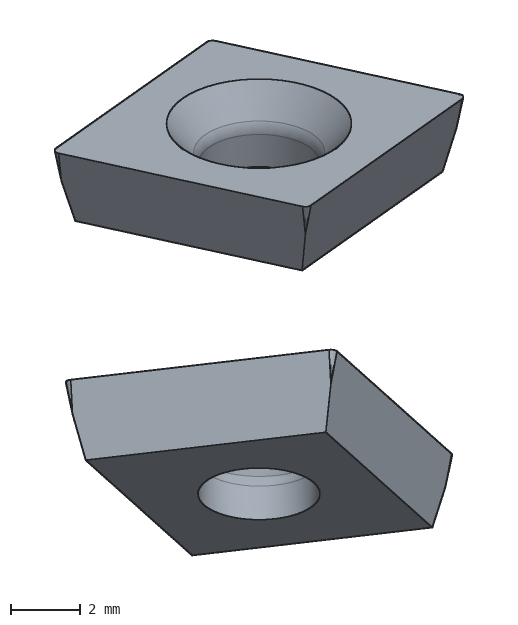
import cadquery as cq
import math

width = 7.94
thickness = 2.38
acute_angle = math.radians(80)
clearance_angle = 11
nose_radius = 0.2

sink_radius = 2.65
seat_radius = 1.88
bore_radius = 1.75
sink_depth = 0.94

side = width / math.sin(acute_angle)
lean = width / math.tan(acute_angle)
half_long = (side + lean) / 2
half_short = (side - lean) / 2
corners = [
    (-half_long, -width / 2),
    (half_short, -width / 2),
    (half_long, width / 2),
    (-half_short, width / 2),
]


def make_body():
    """Rhombic block whose walls slope inward towards the base."""
    return (
        cq.Workplane("XY", origin=(0, 0, thickness))
        .polyline(corners)
        .close()
        .extrude(-thickness, taper=clearance_angle)
    )


def make_nose_cutter(index):
    """Material outside the nose cone, which fades to a point on the sharp edge."""
    corner = cq.Vector(*corners[index], thickness)
    next_corner = cq.Vector(*corners[(index + 1) % len(corners)], thickness)
    last_corner = cq.Vector(*corners[index - 1], thickness)
    along_next = (next_corner - corner).normalized()
    along_last = (last_corner - corner).normalized()
    half_angle = along_next.getAngle(along_last) / 2
    tangent_length = nose_radius / math.tan(half_angle)
    nose_depth = nose_radius / math.tan(math.radians(clearance_angle))

    start = corner + along_next * tangent_length
    end = corner + along_last * tangent_length
    bisector = (along_next + along_last).normalized()
    center = corner + bisector * (nose_radius / math.sin(half_angle))
    apex = center - cq.Vector(0, 0, nose_depth)

    triangles = [
        (corner, start, end),
        (corner, start, apex),
        (start, end, apex),
        (end, corner, apex),
    ]
    faces = [
        cq.Face.makeFromWires(cq.Wire.makePolygon(points, close=True))
        for points in triangles
    ]
    wedge = cq.Solid.makeSolid(cq.Shell.makeShell(faces))
    cone = cq.Solid.makeCone(nose_radius, 0, nose_depth, center, cq.Vector(0, 0, -1))
    return wedge.cut(cone)


def make_screw_hole():
    """Through bore with a countersink blended into it by a tangent arc."""
    slope = math.atan2(sink_radius - seat_radius, sink_depth)
    blend_radius = (seat_radius - bore_radius) / (1 - math.cos(slope))
    seat_z = thickness - sink_depth
    bore_top_z = seat_z - blend_radius * math.sin(slope)
    blend_middle = (
        bore_radius + blend_radius * (1 - math.cos(slope / 2)),
        bore_top_z + blend_radius * math.sin(slope / 2),
    )
    return (
        cq.Workplane("XZ")
        .lineTo(bore_radius, 0)
        .lineTo(bore_radius, bore_top_z)
        .threePointArc(blend_middle, (seat_radius, seat_z))
        .lineTo(sink_radius, thickness)
        .lineTo(0, thickness)
        .close()
        .revolve(360, (0, 0, 0), (0, 1, 0))
    )


result = make_body()
for corner_index in range(len(corners)):
    result = result.cut(cq.Workplane(make_nose_cutter(corner_index)))
result = result.cut(make_screw_hole())